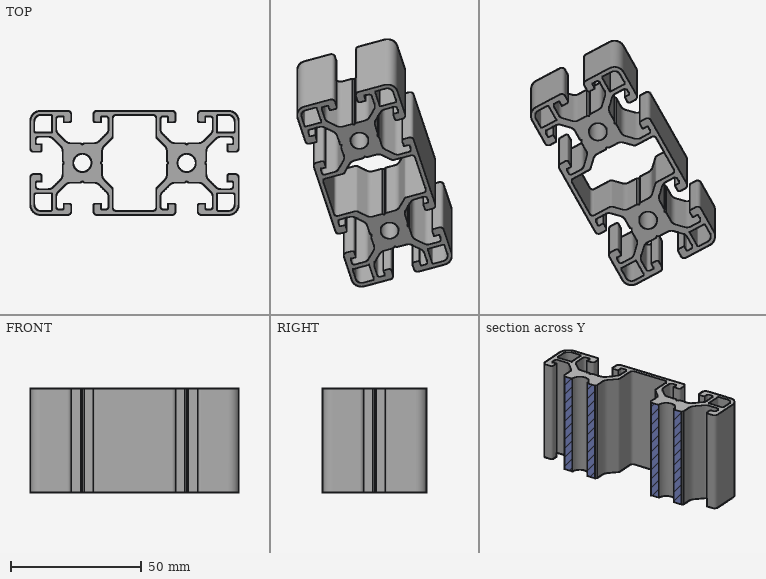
import cadquery as cq
import math

module = 40.0
cell_count = 2
length = 40.0
width = cell_count * module
half_module = module / 2
corner_radius = 4.0
bore_diameter = 6.9

core_half = 7.6
notch_half_width = 0.7
notch_depth = 0.5
slot_half = 10.0
opening_half = 4.2
lip_inner_half = 7.2
lip_depth = 4.4
undercut_roof = 2.2

strut_offset = 1.95
wall_bend_radius = 2.5
core_bend_radius = 3.0

slot_corner_radius = 1.0
lip_root_radius = 0.3
lip_tip_radius = 0.8
lip_face_radius = 1.45

cut_overrun = 1.0

web = 1.7
skin = 1.65
hollow_corner_radius = 1.2
pocket_outer_radius = corner_radius - skin
pocket_side_radius = 0.4


def rounded_outline(corners):
    """Closed wire through (x, y, radius) corners, each rounded by a tangent arc."""
    path = None
    for i, (x, y, radius) in enumerate(corners):
        before = corners[i - 1]
        after = corners[(i + 1) % len(corners)]
        angle_in = math.atan2(before[1] - y, before[0] - x)
        angle_out = math.atan2(after[1] - y, after[0] - x)
        half_angle = abs(math.remainder(angle_out - angle_in, math.tau)) / 2
        setback = radius / math.tan(half_angle)
        start = (x + setback * math.cos(angle_in), y + setback * math.sin(angle_in))
        path = cq.Workplane("XY").moveTo(*start) if path is None else path.lineTo(*start)
        if radius > 0:
            bisector = angle_in + math.remainder(angle_out - angle_in, math.tau) / 2
            reach = radius / math.sin(half_angle) - radius
            middle = (x + reach * math.cos(bisector), y + reach * math.sin(bisector))
            end = (x + setback * math.cos(angle_out), y + setback * math.sin(angle_out))
            path = path.threePointArc(middle, end)
    return path.close()


def mirrored(half):
    """Corners of a half outline followed by their reflection across the Y axis."""
    return half + [(-x, y, radius) for x, y, radius in reversed(half) if x > 0]


def t_slot():
    """T-slot cutter opening toward +Y from a cell centred on the origin."""
    lip_bottom = half_module - lip_depth
    roof = half_module - undercut_roof
    flare = opening_half + lip_face_radius + cut_overrun
    half = [
        (0, core_half - notch_depth, 0),
        (notch_half_width, core_half, 0),
        (core_half - strut_offset, core_half, core_bend_radius),
        (slot_half, slot_half + strut_offset, wall_bend_radius),
        (slot_half, roof, slot_corner_radius),
        (lip_inner_half, roof, lip_root_radius),
        (lip_inner_half, lip_bottom, 0),
        (opening_half, lip_bottom, lip_tip_radius),
        (opening_half, half_module, lip_face_radius),
        (flare, half_module, 0),
        (flare, half_module + cut_overrun, 0),
    ]
    return rounded_outline(mirrored(half)).extrude(length)


def corner_pocket():
    """Closed pocket behind the +X +Y corner of a cell centred on the origin."""
    inner = slot_half + web
    outer = half_module - skin
    corners = [
        (inner, inner, 0),
        (outer, inner, pocket_side_radius),
        (outer, outer, pocket_outer_radius),
        (inner, outer, pocket_side_radius),
    ]
    return rounded_outline(corners).extrude(length)


def central_hollow():
    """Large hollow between the two cells, centred on the origin."""
    wall_x = half_module - slot_half - web
    wall_y = half_module - skin
    core_x = half_module - core_half
    right = [
        (wall_x, -wall_y, hollow_corner_radius),
        (wall_x, -(slot_half + web - strut_offset), hollow_corner_radius),
        (core_x, -(core_half - strut_offset), core_bend_radius),
        (core_x, -notch_half_width, 0),
        (core_x + notch_depth, 0, 0),
        (core_x, notch_half_width, 0),
        (core_x, core_half - strut_offset, core_bend_radius),
        (wall_x, slot_half + web - strut_offset, hollow_corner_radius),
        (wall_x, wall_y, hollow_corner_radius),
    ]
    return rounded_outline(mirrored(right)).extrude(length)


def profile_blank():
    """Solid bar with rounded long edges, before any cutting."""
    bar = cq.Workplane("XY").rect(width, module).extrude(length)
    return bar.edges("|Z").fillet(corner_radius)


def cell_cutters(side):
    """Bore, three T-slots and two corner pockets of the cell on the -X (-1) or +X (+1) side."""
    bore = cq.Workplane("XY").circle(bore_diameter / 2).extrude(length)
    end_slot_angle = -90 * side
    slots = [t_slot().rotate((0, 0, 0), (0, 0, 1), angle) for angle in (0, 180, end_slot_angle)]
    pocket = corner_pocket()
    if side < 0:
        pocket = pocket.mirror("YZ")
    return [bore, *slots, pocket, pocket.mirror("XZ")]


result = profile_blank().cut(central_hollow())
for side in (-1, 1):
    for cutter in cell_cutters(side):
        result = result.cut(cutter.translate((side * half_module, 0, 0)))